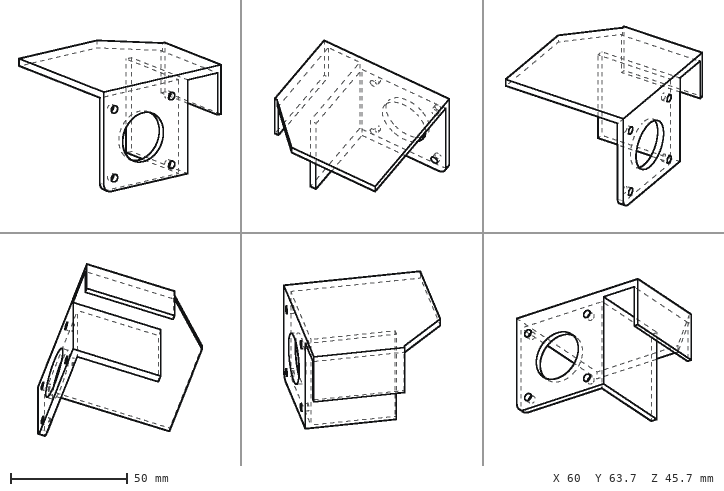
import cadquery as cq

length_x = 60.0
length_y = 63.7
height = 45.7

top_thickness = 3.3
wall_thickness = 3.0
lip_thickness = 2.0

corner_cut = 20.0
lip_overhang = 1.3
lip_height = 22.3
web_outer_y = 45.7

corner_radius = 4.0
bore_diameter = 22.1
screw_diameter = 3.3
screw_spacing = 31.0

wall_length = length_x - corner_cut
top_underside = height - top_thickness
plate_inner_x = length_x - wall_thickness
top_edge_y = length_y - lip_overhang
motor_center_y = (web_outer_y - wall_thickness) / 2
motor_center_z = top_underside / 2


def box_at(x, y, z, size_x, size_y, size_z):
    """Box with its lowest corner at (x, y, z)."""
    return cq.Workplane("XY").box(size_x, size_y, size_z, centered=False).translate((x, y, z))


def make_top_plate():
    """Horizontal plate with one corner cut at 45 degrees."""
    return (
        cq.Workplane("XY", origin=(0, 0, top_underside))
        .moveTo(0, 0)
        .lineTo(length_x, 0)
        .lineTo(length_x, top_edge_y)
        .lineTo(corner_cut, top_edge_y)
        .lineTo(0, top_edge_y - corner_cut)
        .close()
        .extrude(top_thickness)
    )


def make_motor_plate():
    """Vertical plate with a rounded lower corner, central bore and four screw holes."""
    plate = box_at(plate_inner_x, 0, 0, wall_thickness, web_outer_y, height)
    plate = plate.edges("|X and <Y and <Z").fillet(corner_radius)
    hole_plane = cq.Workplane("YZ", origin=(plate_inner_x, motor_center_y, motor_center_z))
    bore = hole_plane.circle(bore_diameter / 2).extrude(wall_thickness)
    screws = (
        hole_plane.rect(screw_spacing, screw_spacing, forConstruction=True)
        .vertices()
        .circle(screw_diameter / 2)
        .extrude(wall_thickness)
    )
    return plate.cut(bore).cut(screws)


web = box_at(corner_cut, web_outer_y - wall_thickness, 0, wall_length, wall_thickness, height)
lip = box_at(
    corner_cut, length_y - lip_thickness, height - lip_height,
    wall_length, lip_thickness, lip_height,
)

result = make_top_plate().union(make_motor_plate()).union(web).union(lip)